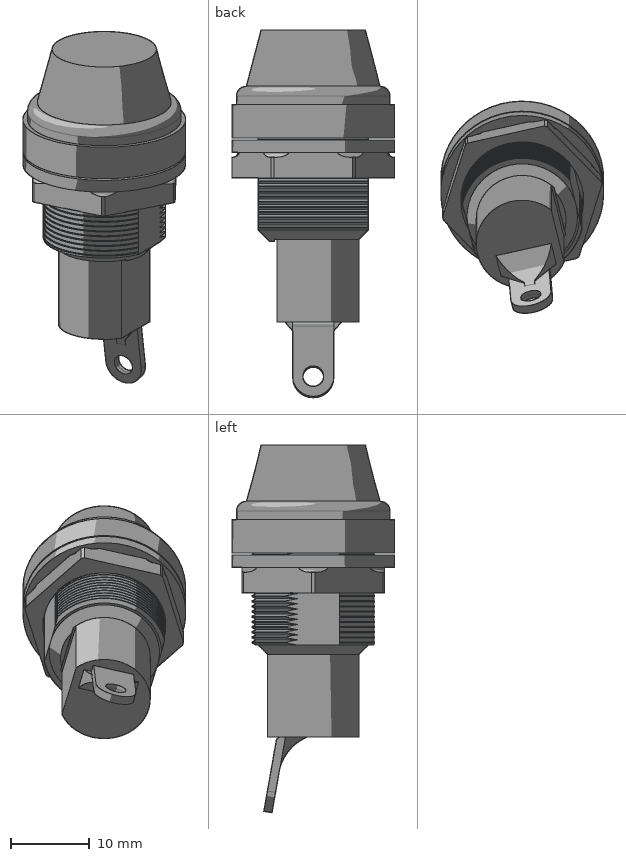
import cadquery as cq
import math


cap_base_z = 4.25
cap_straight_height = 1.07
cap_radius = 9.75
knob_base_radius = 8.5
knob_top_radius = 6.65
cap_top_z = 13.72
cap_edge_radius = cap_radius - knob_base_radius

bezel_diameter = 20.7
bezel_radius = bezel_diameter / 2
washer_gap = 0.25
washer_thickness = 1.6
washer_top_z = -washer_gap

nut_sides = 6
nut_across_flats = 18.1
nut_height = 3.2
nut_corner_radius = bezel_radius
nut_relief_radius = 9.55
nut_relief_height = 0.6
nut_relief_middle_radius = 9.75
nut_relief_middle_drop = 0.4
nut_top_z = washer_top_z - washer_thickness
nut_bottom_z = nut_top_z - nut_height

barrel_bottom_z = -11.65
thread_crest_radius = 7.8
thread_root_radius = 7.3
thread_pitch = 0.65
crest_width = 0.1
filled_radius = 7.75
barrel_flat_x = 7.0
neck_radius = barrel_flat_x

tube_bottom_z = -23.35
tube_radius = 5.85
tube_flat_x = 4.6
neck_bottom_z = barrel_bottom_z - (neck_radius - tube_radius)
lip_inner_x = 4.9
lip_height = 0.3
lip_bottom_z = neck_bottom_z - lip_height

lug_tilt = 10.0
lug_thickness = 1.07
lug_half_width = 2.6
lug_hole_radius = 1.3
lug_tip_z = -32.95
lug_outer_face_y = 4.6
lug_bend_radius = 0.6
web_start_y = 0.75
web_middle_y = 2.6
web_middle_drop = 1.2
web_drop = 4.1
web_top_half_width = 3.6
web_tail_half_width = 0.65
web_taper_drop = 3.35


def disc(radius, bottom_z, top_z):
    return cq.Workplane("XY").workplane(offset=bottom_z).circle(radius).extrude(top_z - bottom_z)


def cone(bottom_radius, top_radius, bottom_z, top_z):
    outline = [(0, bottom_z), (bottom_radius, bottom_z), (top_radius, top_z), (0, top_z)]
    return cq.Workplane("XZ").polyline(outline).close().revolve(360, (0, 0, 0), (0, 1, 0))


def block(x_range, y_range, z_range):
    """Box between the given lower and upper limits along each axis."""
    limits = (x_range, y_range, z_range)
    size = [high - low for low, high in limits]
    middle = [(low + high) / 2 for low, high in limits]
    return cq.Workplane("XY").box(*size).translate(tuple(middle))


def make_cap():
    """Tapered knob on a round-edged base that sits on the bezel."""
    straight_top_z = cap_base_z + cap_straight_height
    knob_base_z = straight_top_z + cap_edge_radius
    diagonal = cap_edge_radius * math.sqrt(0.5)
    return (
        cq.Workplane("XZ")
        .moveTo(0, cap_base_z)
        .lineTo(cap_radius, cap_base_z)
        .lineTo(cap_radius, straight_top_z)
        .threePointArc(
            (knob_base_radius + diagonal, straight_top_z + diagonal),
            (knob_base_radius, knob_base_z),
        )
        .lineTo(knob_top_radius, cap_top_z)
        .lineTo(0, cap_top_z)
        .close()
        .revolve(360, (0, 0, 0), (0, 1, 0))
    )


def make_threaded_rod():
    """Rod with evenly spaced V-grooves between narrow crests, running up into the bezel."""
    turns = math.ceil(-barrel_bottom_z / thread_pitch)
    flank_height = (thread_pitch - crest_width) / 2
    outline = [(0, barrel_bottom_z)]
    for turn in range(turns):
        root_z = barrel_bottom_z + turn * thread_pitch
        crest_z = root_z + flank_height
        outline.append((thread_root_radius, root_z))
        outline.append((thread_crest_radius, crest_z))
        outline.append((thread_crest_radius, crest_z + crest_width))
    top_z = barrel_bottom_z + turns * thread_pitch
    outline.append((thread_root_radius, top_z))
    outline.append((0, top_z))
    return cq.Workplane("XZ").polyline(outline).close().revolve(360, (0, 0, 0), (0, 1, 0))


def make_barrel():
    """Threaded barrel with two flats; its -Y half is filled almost to the crests."""
    reach = 2 * thread_crest_radius
    z_range = (barrel_bottom_z, 0)
    front_half = block((-reach, reach), (-reach, 0), z_range)
    filled_half = disc(filled_radius, barrel_bottom_z, 0).intersect(front_half)
    between_flats = block((-barrel_flat_x, barrel_flat_x), (-reach, reach), z_range)
    return make_threaded_rod().union(filled_half).intersect(between_flats)


def make_tube():
    """Fuse tube with a flat on its +X side, hanging from a conical neck."""
    reach = 2 * tube_radius
    round_tube = disc(tube_radius, tube_bottom_z, neck_bottom_z)
    beyond_flat = block((tube_flat_x, reach), (-reach, reach), (tube_bottom_z, neck_bottom_z))
    full_neck = cone(tube_radius - lip_height, neck_radius, lip_bottom_z, barrel_bottom_z)
    beside_lip = block((-reach, lip_inner_x), (-reach, reach), (lip_bottom_z, neck_bottom_z))
    return round_tube.cut(beyond_flat).union(full_neck.cut(beside_lip))


def make_housing():
    """Bezel, threaded barrel and fuse tube as one body."""
    bezel = disc(bezel_radius, 0, cap_base_z)
    return bezel.union(make_barrel()).union(make_tube())


def make_washer():
    """Flat ring around the barrel, just below the bezel."""
    washer = disc(bezel_radius, nut_top_z, washer_top_z)
    return washer.cut(disc(thread_crest_radius, nut_top_z, washer_top_z))


def make_nut():
    """Hexagonal nut with corners on the X axis, turned down and relieved at the top."""
    hexagon_diameter = nut_across_flats / math.cos(math.pi / nut_sides)
    blank = (
        cq.Workplane("XZ")
        .moveTo(0, nut_bottom_z)
        .lineTo(nut_corner_radius, nut_bottom_z)
        .lineTo(nut_corner_radius, nut_top_z - nut_relief_height)
        .threePointArc(
            (nut_relief_middle_radius, nut_top_z - nut_relief_middle_drop),
            (nut_relief_radius, nut_top_z),
        )
        .lineTo(0, nut_top_z)
        .close()
        .revolve(360, (0, 0, 0), (0, 1, 0))
    )
    hexagon = (
        cq.Workplane("XY")
        .workplane(offset=nut_bottom_z)
        .polygon(nut_sides, hexagon_diameter)
        .extrude(nut_height)
    )
    return hexagon.intersect(blank).cut(disc(thread_crest_radius, nut_bottom_z, nut_top_z))


def make_terminal():
    """Tilted lug with a round end and a hole, joined to the tube by a concave web."""
    tilt = math.radians(lug_tilt)
    slope = math.tan(tilt)
    lug_depth = lug_thickness / math.cos(tilt)
    inner_top_y = lug_outer_face_y - lug_depth

    drop = tube_bottom_z - lug_tip_z + lug_thickness
    lug = (
        cq.Workplane("YZ")
        .moveTo(inner_top_y, tube_bottom_z)
        .lineTo(lug_outer_face_y, tube_bottom_z)
        .lineTo(lug_outer_face_y + drop * slope, tube_bottom_z - drop)
        .lineTo(inner_top_y + drop * slope, tube_bottom_z - drop)
        .close()
        .extrude(lug_half_width, both=True)
        .faces(">Z").edges(">Y")
        .fillet(lug_bend_radius)
    )

    eye_drop = (
        tube_bottom_z - lug_tip_z
        - lug_half_width * math.cos(tilt)
        - lug_thickness / 2 * math.sin(tilt)
    )
    eye_y = lug_outer_face_y - lug_depth / 2 + eye_drop * slope
    eye_z = tube_bottom_z - eye_drop
    eye_plane = cq.Plane(
        origin=(0, eye_y, eye_z),
        xDir=(1, 0, 0),
        normal=(0, -math.cos(tilt), -math.sin(tilt)),
    )
    straight_length = 2 * eye_drop
    end_shape = (
        cq.Workplane(eye_plane)
        .moveTo(-lug_half_width, straight_length)
        .lineTo(-lug_half_width, 0)
        .threePointArc((0, -lug_half_width), (lug_half_width, 0))
        .lineTo(lug_half_width, straight_length)
        .close()
        .extrude(2 * lug_thickness, both=True)
    )
    eye_hole = cq.Workplane(eye_plane).circle(lug_hole_radius).extrude(lug_thickness, both=True)

    web_fill = (
        cq.Workplane("YZ")
        .moveTo(web_start_y, tube_bottom_z)
        .threePointArc(
            (web_middle_y, tube_bottom_z - web_middle_drop),
            (inner_top_y + web_drop * slope, tube_bottom_z - web_drop),
        )
        .lineTo(inner_top_y, tube_bottom_z)
        .close()
        .extrude(web_top_half_width, both=True)
    )
    web_outline = [
        (-web_top_half_width, tube_bottom_z),
        (-web_tail_half_width, tube_bottom_z - web_taper_drop),
        (-web_tail_half_width, tube_bottom_z - web_drop),
        (web_tail_half_width, tube_bottom_z - web_drop),
        (web_tail_half_width, tube_bottom_z - web_taper_drop),
        (web_top_half_width, tube_bottom_z),
    ]
    web_taper = cq.Workplane("XZ").polyline(web_outline).close().extrude(-2 * lug_outer_face_y)
    return lug.intersect(end_shape).union(web_fill.intersect(web_taper)).cut(eye_hole)


cap = make_cap()
housing = make_housing()
washer = make_washer()
nut = make_nut()
terminal = make_terminal()

result = cq.Compound.makeCompound(
    [body.solids().val() for body in (cap, housing, washer, nut, terminal)]
)